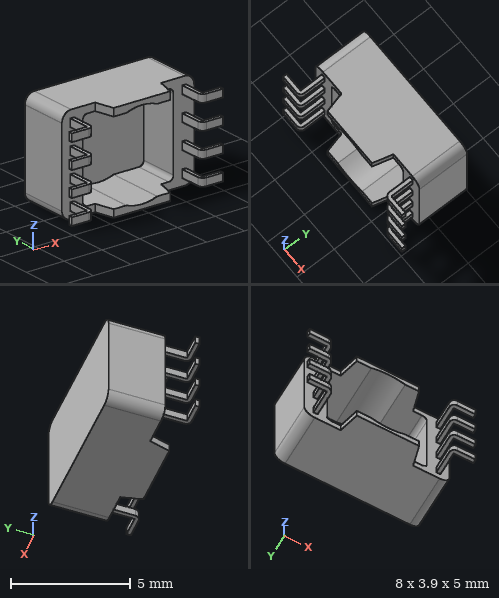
import cadquery as cq

total_length = 8.0
total_depth = 3.9
body_length = 7.0
body_height = 5.0
body_depth = 2.56
body_corner_radius = 0.5

cavity_length = 4.8
cavity_height = 4.21
cavity_depth = 2.05
cavity_corner_radius = 0.25
relief_radius = 2.26

tab_root_length = 3.5
tab_tip_length = 3.0
tab_projection = 0.95

leads_per_side = 4
lead_pitch = 1.27
lead_width = 0.4
lead_thickness = 0.2
lead_foot_length = 1.14
lead_bend_radius = 0.25

back_y = total_depth / 2
foot_y = -total_depth / 2
mouth_y = back_y - body_depth
tab_tip_y = mouth_y - tab_projection


def block_along_y(length, height, start_y, end_y):
    """Block centred on X and Z that spans start_y to end_y."""
    depth = end_y - start_y
    return cq.Workplane("XY").box(length, depth, height).translate((0, start_y + depth / 2, 0))


def make_body():
    body = block_along_y(body_length, body_height, mouth_y, back_y)
    return body.edges("|Y").fillet(body_corner_radius)


def make_tabs():
    """Full-height tapered block; the cavity cut separates it into two tabs."""
    return (
        cq.Workplane("XY")
        .polyline([
            (-tab_root_length / 2, mouth_y),
            (-tab_tip_length / 2, tab_tip_y),
            (tab_tip_length / 2, tab_tip_y),
            (tab_root_length / 2, mouth_y),
        ])
        .close()
        .extrude(body_height / 2, both=True)
    )


def make_cavity():
    floor_y = mouth_y + cavity_depth
    pocket = block_along_y(cavity_length, cavity_height, tab_tip_y, floor_y)
    pocket = pocket.edges("|Y").fillet(cavity_corner_radius)
    relief = (
        cq.Workplane("XZ", origin=(0, floor_y, 0))
        .circle(relief_radius)
        .extrude(floor_y - tab_tip_y)
    )
    return pocket.union(relief)


def make_lead(center_z):
    """L-shaped lead on the +X side, with its foot pointing outward."""
    outer_x = total_length / 2
    inner_x = outer_x - lead_foot_length
    return (
        cq.Workplane("XY", origin=(0, 0, center_z))
        .moveTo(inner_x, mouth_y)
        .lineTo(inner_x, foot_y + lead_bend_radius)
        .radiusArc((inner_x + lead_bend_radius, foot_y), -lead_bend_radius)
        .lineTo(outer_x, foot_y)
        .lineTo(outer_x, foot_y + lead_thickness)
        .lineTo(inner_x + lead_thickness, foot_y + lead_thickness)
        .lineTo(inner_x + lead_thickness, mouth_y)
        .close()
        .extrude(lead_width / 2, both=True)
    )


result = make_body().union(make_tabs()).cut(make_cavity())
for index in range(leads_per_side):
    lead_z = (index - (leads_per_side - 1) / 2) * lead_pitch
    right_lead = make_lead(lead_z)
    result = result.union(right_lead).union(right_lead.mirror("YZ"))